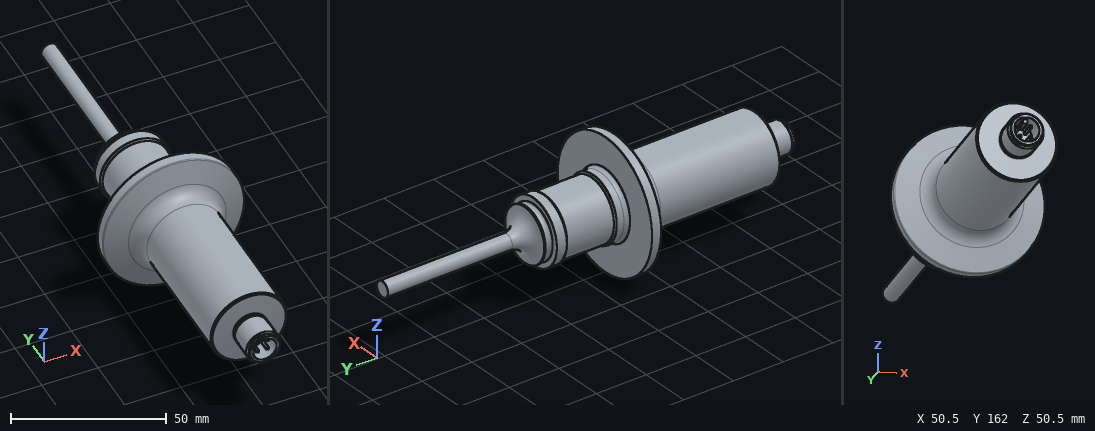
import cadquery as cq
import math


overall_length = 162.0
rod_tip_y = 89.5

rod_dia = 6.0
flare_radius = 7.2
flare_start_y = 39.45
rim_dia = 21.0
rim_thickness = 0.5

neck_waist_dia = 18.6
neck_end_dia = 20.8

collar_dia = 25.3
sleeve_dia = 24.0
front_collar_y = 28.8
front_collar_end_y = 24.8
back_collar_y = 4.7
back_collar_end_y = 1.8
foot_dia = 27.0
foot_bulge = 0.15

flange_dia = 50.5
flange_edge_width = 3.5
flange_edge_round = 0.4
flange_cone_angle = 20.0

housing_dia = 27.0
housing_end_y = -60.55
housing_chamfer = 0.45
end_cone_height = 0.5
end_cone_inner_dia = 12.5
housing_fillet = 5.9

connector_root_dia = 11.6
connector_dia = 12.0
connector_root_length = 1.15
connector_tip_dia = 10.5
connector_tip_length = 1.15
connector_chamfer_length = 0.4

bore_dia = 8.3
bore_depth = 8.5
pin_dia = 1.0
pin_circle_dia = 5.0
pin_tip_dia = 0.25
pin_tip_length = 0.4
pin_recess = 1.5
pin_count = 4
first_pin_angle = 45
key_width = 1.5
key_height = 1.4
key_recess = 2.0

connector_end_y = rod_tip_y - overall_length
bore_floor_y = connector_end_y + bore_depth


def turned_body():
    """Solid of revolution of the half outline (radius, y) about the Y axis."""
    rod_r = rod_dia / 2
    collar_r = collar_dia / 2
    sleeve_r = sleeve_dia / 2
    collar_bevel = collar_r - sleeve_r
    foot_r = foot_dia / 2
    foot_mid = ((collar_r + foot_r) / 2 - foot_bulge, back_collar_end_y / 2 - foot_bulge)
    flange_r = flange_dia / 2
    housing_r = housing_dia / 2
    connector_r = connector_dia / 2
    tip_r = connector_tip_dia / 2

    cos_45 = math.sqrt(0.5)
    flare_end_y = flare_start_y - flare_radius
    flare_end_r = rod_r + flare_radius
    flare_mid = (flare_end_r - flare_radius * cos_45, flare_start_y - flare_radius * cos_45)

    rim_back_y = flare_end_y - rim_thickness
    neck_mid_y = (rim_back_y + front_collar_y) / 2

    cone = math.radians(flange_cone_angle)
    turn = math.pi / 2 - cone
    cone_start_r = flange_r - flange_edge_round * (1 - math.cos(turn))
    cone_start_y = -flange_edge_width - flange_edge_round * math.sin(turn)
    edge_mid_r = flange_r - flange_edge_round * (1 - math.cos(turn / 2))
    edge_mid_y = -flange_edge_width - flange_edge_round * math.sin(turn / 2)
    fillet_centre_r = housing_r + housing_fillet
    fillet_start_r = fillet_centre_r - housing_fillet * math.cos(turn)
    fillet_mid_r = fillet_centre_r - housing_fillet * math.cos(turn / 2)
    fillet_start_y = cone_start_y - (cone_start_r - fillet_start_r) * math.tan(cone)
    fillet_end_y = fillet_start_y - housing_fillet * math.sin(turn)
    fillet_mid_y = fillet_end_y + housing_fillet * math.sin(turn / 2)

    tip_y = connector_end_y + connector_tip_length
    end_cone_y = housing_end_y - end_cone_height
    root_y = end_cone_y - connector_root_length

    profile = (
        cq.Workplane("XY")
        .moveTo(0, rod_tip_y)
        .lineTo(rod_r, rod_tip_y)
        .lineTo(rod_r, flare_start_y)
        .threePointArc(flare_mid, (flare_end_r, flare_end_y))
        .lineTo(rim_dia / 2, flare_end_y)
        .lineTo(rim_dia / 2, rim_back_y)
        .threePointArc((neck_waist_dia / 2, neck_mid_y), (neck_end_dia / 2, front_collar_y))
        .lineTo(collar_r, front_collar_y)
        .lineTo(collar_r, front_collar_end_y)
        .lineTo(sleeve_r, front_collar_end_y - collar_bevel)
        .lineTo(sleeve_r, back_collar_y + collar_bevel)
        .lineTo(collar_r, back_collar_y)
        .lineTo(collar_r, back_collar_end_y)
        .threePointArc(foot_mid, (foot_r, 0))
        .lineTo(flange_r, 0)
        .lineTo(flange_r, -flange_edge_width)
        .threePointArc((edge_mid_r, edge_mid_y), (cone_start_r, cone_start_y))
        .lineTo(fillet_start_r, fillet_start_y)
        .threePointArc((fillet_mid_r, fillet_mid_y), (housing_r, fillet_end_y))
        .lineTo(housing_r, housing_end_y + housing_chamfer)
        .lineTo(housing_r - housing_chamfer, housing_end_y)
        .lineTo(end_cone_inner_dia / 2, end_cone_y)
        .lineTo(connector_root_dia / 2, end_cone_y)
        .lineTo(connector_root_dia / 2, root_y)
        .lineTo(connector_r, root_y)
        .lineTo(connector_r, tip_y + connector_chamfer_length)
        .lineTo(tip_r, tip_y)
        .lineTo(tip_r, connector_end_y)
        .lineTo(0, connector_end_y)
        .close()
    )
    return profile.revolve(360, (0, 0, 0), (0, 1, 0))


def connector_bore():
    """Blind bore in the end of the connector."""
    return cq.Workplane("XZ", origin=(0, bore_floor_y, 0)).circle(bore_dia / 2).extrude(bore_depth)


def connector_pins():
    """Contact pins with tapered tips, standing on the bore floor."""
    pin_r = pin_dia / 2
    pin_length = bore_depth - pin_recess
    return (
        cq.Workplane("XZ", origin=(0, bore_floor_y, 0))
        .polarArray(pin_circle_dia / 2, first_pin_angle, 360, pin_count)
        .circle(pin_r)
        .extrude(pin_length)
        .faces("<Y")
        .edges()
        .chamfer(pin_tip_length, pin_r - pin_tip_dia / 2)
    )


def coding_key():
    """Rib along the top of the bore, its root sunk half-way into the shell wall."""
    root_depth = (connector_tip_dia - bore_dia) / 4
    height = key_height + root_depth
    length = bore_depth - key_recess
    centre_z = bore_dia / 2 - key_height + height / 2
    key = cq.Workplane("XY").box(key_width, length, height)
    return key.translate((0, bore_floor_y - length / 2, centre_z))


body = turned_body()
body = body.cut(connector_bore())
body = body.union(connector_pins())
result = body.union(coding_key())